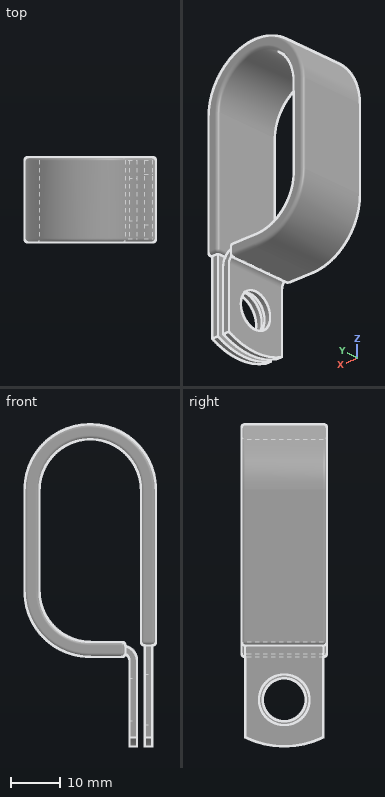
import cadquery as cq
import math


overall_width = 26.85
overall_height = 65.73

strip_thickness = 1.5875
bend_inner_radius = strip_thickness
bend_outer_radius = bend_inner_radius + strip_thickness
bend_mid_angle = 45

cushion_width = 17.46
cover = 0.76
cushion_thickness = strip_thickness + 2 * cover
strip_width = cushion_width - 2 * cover
loop_outer_radius = overall_width / 2
loop_inner_radius = loop_outer_radius - cushion_thickness
straight_length = 2 * loop_inner_radius
corner_mid_angle = 225
lower_axis_z = -straight_length
edge_radius = cover

tab_gap = 1.5
tab_bottom_z = loop_outer_radius - overall_height
tab_end_radius = 18.0
left_hole_diameter = 8.73
right_hole_diameter = 10.32
hole_to_tab_end = 9.525
hole_z = tab_bottom_z + hole_to_tab_end

right_tab_outer_x = loop_outer_radius - cover
right_tab_inner_x = right_tab_outer_x - strip_thickness
left_tab_inner_x = right_tab_inner_x - tab_gap
left_tab_outer_x = left_tab_inner_x - strip_thickness

strip_top_z = lower_axis_z - loop_inner_radius - cover
strip_bottom_z = strip_top_z - strip_thickness
bend_start_x = left_tab_inner_x - bend_outer_radius
bend_end_z = strip_top_z - bend_outer_radius

cushion_lower_end_x = bend_start_x + cover
cushion_right_end_z = strip_top_z
tab_embed = 2 * cover


def extrude_profile(profile, width):
    """Extrude an XZ profile symmetrically about Y = 0."""
    return profile.close().extrude(width / 2, both=True)


def arc_offset(radius, degrees):
    """X and Z offsets of a point on an arc from the arc centre."""
    angle = math.radians(degrees)
    return radius * math.cos(angle), radius * math.sin(angle)


def make_cushion():
    """Open loop: right leg, half-round top, left leg, quarter-round corner and lower leg."""
    r_out = loop_outer_radius
    r_in = loop_inner_radius
    out_x, out_z = arc_offset(r_out, corner_mid_angle)
    in_x, in_z = arc_offset(r_in, corner_mid_angle)
    profile = (
        cq.Workplane("XZ")
        .moveTo(r_out, cushion_right_end_z)
        .lineTo(r_out, 0)
        .threePointArc((0, r_out), (-r_out, 0))
        .lineTo(-r_out, lower_axis_z)
        .threePointArc((out_x, lower_axis_z + out_z), (0, lower_axis_z - r_out))
        .lineTo(cushion_lower_end_x, lower_axis_z - r_out)
        .lineTo(cushion_lower_end_x, lower_axis_z - r_in)
        .lineTo(0, lower_axis_z - r_in)
        .threePointArc((in_x, lower_axis_z + in_z), (-r_in, lower_axis_z))
        .lineTo(-r_in, 0)
        .threePointArc((0, r_in), (r_in, 0))
        .lineTo(r_in, cushion_right_end_z)
    )
    return extrude_profile(profile, cushion_width).edges().fillet(edge_radius)


def make_left_tab():
    """Strip leaving the lower cushion end and bending down."""
    bend_in_x, bend_in_z = arc_offset(bend_inner_radius, bend_mid_angle)
    bend_out_x, bend_out_z = arc_offset(bend_outer_radius, bend_mid_angle)
    start_x = bend_start_x - tab_embed
    profile = (
        cq.Workplane("XZ")
        .moveTo(start_x, strip_top_z)
        .lineTo(bend_start_x, strip_top_z)
        .threePointArc(
            (bend_start_x + bend_out_x, bend_end_z + bend_out_z),
            (left_tab_inner_x, bend_end_z),
        )
        .lineTo(left_tab_inner_x, tab_bottom_z)
        .lineTo(left_tab_outer_x, tab_bottom_z)
        .lineTo(left_tab_outer_x, bend_end_z)
        .threePointArc(
            (bend_start_x + bend_in_x, bend_end_z + bend_in_z),
            (bend_start_x, strip_bottom_z),
        )
        .lineTo(start_x, strip_bottom_z)
    )
    return extrude_profile(profile, strip_width)


def make_right_tab():
    """Straight strip continuing down from the right cushion leg."""
    top_z = cushion_right_end_z + tab_embed
    profile = (
        cq.Workplane("XZ")
        .moveTo(right_tab_inner_x, top_z)
        .lineTo(right_tab_outer_x, top_z)
        .lineTo(right_tab_outer_x, tab_bottom_z)
        .lineTo(right_tab_inner_x, tab_bottom_z)
    )
    return extrude_profile(profile, strip_width)


def make_tab_envelope(hole_diameter):
    """Prism along X with a tab's YZ outline: straight sides, arched end and bolt hole."""
    half_width = strip_width / 2
    sagitta = tab_end_radius - math.sqrt(tab_end_radius**2 - half_width**2)
    shoulder_z = tab_bottom_z + sagitta
    outline = (
        cq.Workplane("YZ")
        .moveTo(-half_width, 0)
        .lineTo(-half_width, shoulder_z)
        .threePointArc((0, tab_bottom_z), (half_width, shoulder_z))
        .lineTo(half_width, 0)
        .close()
        .extrude(loop_outer_radius)
    )
    hole = (
        cq.Workplane("YZ")
        .center(0, hole_z)
        .circle(hole_diameter / 2)
        .extrude(loop_outer_radius)
    )
    return outline.cut(hole)


left_tab = make_left_tab().intersect(make_tab_envelope(left_hole_diameter))
right_tab = make_right_tab().intersect(make_tab_envelope(right_hole_diameter))
result = make_cushion().union(left_tab).union(right_tab)